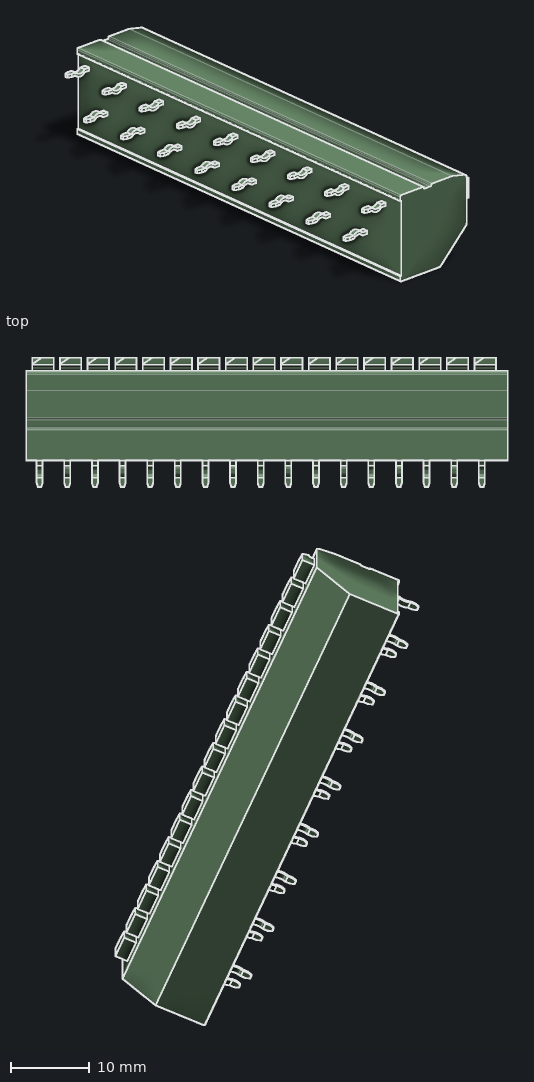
import cadquery as cq

length = 61.0
depth = 11.4
height = 12.0
bottom_chamfer = 4.6
recess_depth = 0.2
rail_height = 0.8
rail_radius = 0.2

slope_start_y = 8.9
slope_end_z = 11.45
slope_corner_radius = 0.55

groove_front_y = 3.9
groove_width = 1.6
groove_depth = 0.3
groove_wall_radius = groove_depth / 2

pole_count = 17
pitch = 3.4995
first_pin_x = 1.7
first_button_x = 2.15

button_width = 2.75
button_reach = 1.65
button_top_z = 10.0
button_bottom_z = 7.25
button_head_depth = 0.9
button_step = 0.55
button_step_radius = 0.35
corner_cut_x = 1.2
corner_cut_y = 0.85
corner_cut_z = 0.5

pin_width = 0.8
pin_thickness = 0.4
pin_reach = 3.35
pin_root = 0.6
upper_pin_z = 9.75
lower_pin_z = 4.7
bend_start = 0.6
bend_length = 1.5
bend_depth = 0.35
ramp_length = 0.35
ramp_height = 0.275
tip_length = 0.55
tip_inset = 0.2


def make_housing():
    """Constant cross-section extruded along the whole row, with rounded long edges."""
    outline = [
        (0, 0),
        (depth - bottom_chamfer, 0),
        (depth, bottom_chamfer),
        (depth, slope_end_z),
        (slope_start_y, height),
        (0, height),
        (0, height - rail_height),
        (recess_depth, height - rail_height),
        (recess_depth, rail_height),
        (0, rail_height),
    ]
    housing = cq.Workplane("YZ").polyline(outline).close().extrude(length)
    middle_x = length / 2
    housing = housing.edges(cq.selectors.NearestToPointSelector((middle_x, depth, slope_end_z)))
    housing = housing.fillet(slope_corner_radius)
    for edge_z in (0, height):
        rail_edge = cq.selectors.NearestToPointSelector((middle_x, 0, edge_z))
        housing = housing.edges(rail_edge).fillet(rail_radius)
    return housing


def make_groove():
    """Cutter for the top groove; each wall is two quarter arcs, convex above and concave below."""
    radius = groove_wall_radius
    back_y = groove_front_y + groove_width
    middle_z = height - radius
    floor_z = height - groove_depth
    return (
        cq.Workplane("YZ")
        .moveTo(groove_front_y, height)
        .radiusArc((groove_front_y + radius, middle_z), radius)
        .radiusArc((groove_front_y + 2 * radius, floor_z), -radius)
        .lineTo(back_y - 2 * radius, floor_z)
        .radiusArc((back_y - radius, middle_z), -radius)
        .radiusArc((back_y, height), radius)
        .close()
        .extrude(length)
    )


def make_button():
    """Stepped push button centred on X = 0, with its upper -X outer corner cut off."""
    outer_y = depth + button_reach
    head_y = outer_y - button_head_depth
    step_z = button_top_z - button_step
    button = (
        cq.Workplane("YZ")
        .moveTo(depth, button_bottom_z)
        .lineTo(outer_y, button_bottom_z)
        .lineTo(outer_y, button_top_z)
        .lineTo(head_y, button_top_z)
        .lineTo(head_y, step_z + button_step_radius)
        .tangentArcPoint((head_y - button_step_radius, step_z), relative=False)
        .lineTo(depth, step_z)
        .close()
        .extrude(button_width / 2, both=True)
    )

    corner = cq.Vector(-button_width / 2, outer_y, button_top_z)
    along_x = corner + cq.Vector(corner_cut_x, 0, 0)
    along_y = corner - cq.Vector(0, corner_cut_y, 0)
    along_z = corner - cq.Vector(0, 0, corner_cut_z)
    triangles = [
        (corner, along_x, along_y),
        (corner, along_y, along_z),
        (corner, along_z, along_x),
        (along_x, along_y, along_z),
    ]
    faces = [cq.Face.makeFromWires(cq.Wire.makePolygon(points, close=True)) for points in triangles]
    cutter = cq.Solid.makeSolid(cq.Shell.makeShell(faces))
    return button.cut(cq.Workplane(obj=cutter))


def make_pin(bend_direction):
    """Flat pin at X = 0, Z = 0 with an arched bend toward +Z (1) or -Z (-1).

    The outer side of the bend is one arc. The hollow side is an arc that ends in a straight ramp.
    """
    outer = bend_direction * pin_thickness / 2
    inner = -outer
    rise = bend_direction * bend_depth
    ramp_rise = bend_direction * ramp_height
    bend_end = bend_start + bend_length
    bend_middle = bend_start + bend_length / 2
    ramp_start = bend_end - ramp_length
    side = (
        cq.Workplane("YZ")
        .moveTo(pin_root, inner)
        .lineTo(-bend_start, inner)
        .threePointArc((-bend_middle, inner + rise), (-ramp_start, inner + ramp_rise))
        .lineTo(-bend_end, inner)
        .lineTo(-pin_reach, inner)
        .lineTo(-pin_reach, outer)
        .lineTo(-bend_end, outer)
        .threePointArc((-bend_middle, outer + rise), (-bend_start, outer))
        .lineTo(pin_root, outer)
        .close()
        .extrude(pin_width / 2, both=True)
    )
    return side.faces("<Y").edges("|Z").chamfer(tip_length, tip_inset)


housing = make_housing().cut(make_groove())
button = make_button()
upper_pin = make_pin(-1)
lower_pin = make_pin(1)

result = housing
for pole in range(pole_count):
    offset = pole * pitch
    result = result.union(button.translate((first_button_x + offset, 0, 0)))
    if pole % 2 == 0:
        pin = upper_pin.translate((first_pin_x + offset, 0, upper_pin_z))
    else:
        pin = lower_pin.translate((first_pin_x + offset, 0, lower_pin_z))
    result = result.union(pin)